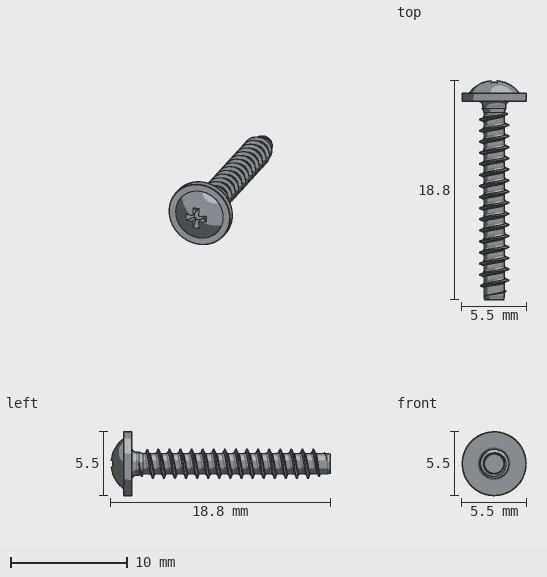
import math

import cadquery as cq


total_length = 18.76
head_height = 1.78
shank_length = total_length - head_height
flange_diameter = 5.5
flange_radius = flange_diameter / 2
flange_height = 0.73
flange_edge_chamfer = 0.04
dome_radius = 2.14

recess_wing_width = 0.53
recess_length = 2.03
recess_bottom_length = 0.83
recess_depth = 0.94

recess_corner_radius = recess_wing_width / math.sqrt(2)
dome_sphere_center = (
    recess_corner_radius**2 + head_height**2 - dome_radius**2 - flange_height**2
) / (2 * (head_height - flange_height))
dome_sphere_radius = math.hypot(dome_radius, flange_height - dome_sphere_center)
dome_apex = dome_sphere_center + dome_sphere_radius

core_radius = 0.88
neck_radius = 1.0
neck_fillet = 0.38
neck_end = 0.62
neck_taper_end = 0.94
tip_radius = 0.83
tip_taper_length = 0.25

full_span_turns = 14
full_span_length = 13.28
pitch = full_span_length / full_span_turns
thread_start = 0.6
lead_in_turns = 1.0
full_turns = 14.7
run_out_turns = 1.3
lead_in_height = 0.5
run_out_height = 0.05
thread_base_radius = 0.85
thread_shoulder_radius = 0.94
thread_crest_radius = 1.25
head_side_base_width = 0.45
tip_side_base_width = 0.28
shoulder_half_width = 0.13
crest_half_width = 0.011
points_per_turn = 16

shoulder_height = thread_shoulder_radius - thread_base_radius
crest_height = thread_crest_radius - thread_base_radius
thread_section = [
    (-tip_side_base_width, 0),
    (-shoulder_half_width, shoulder_height),
    (-crest_half_width, crest_height),
    (crest_half_width, crest_height),
    (shoulder_half_width, shoulder_height),
    (head_side_base_width, 0),
]


def make_blank():
    """Revolved head, neck and core without thread or recess."""
    dome_rim_angle = math.asin((flange_height - dome_sphere_center) / dome_sphere_radius)
    dome_mid_angle = (math.pi / 2 + dome_rim_angle) / 2
    dome_mid = (
        dome_sphere_radius * math.cos(dome_mid_angle),
        dome_sphere_center + dome_sphere_radius * math.sin(dome_mid_angle),
    )
    fillet_mid_offset = neck_fillet * (1 - math.sqrt(0.5))
    return (
        cq.Workplane("XY")
        .moveTo(0, dome_apex)
        .threePointArc(dome_mid, (dome_radius, flange_height))
        .lineTo(flange_radius - flange_edge_chamfer, flange_height)
        .lineTo(flange_radius, flange_height - flange_edge_chamfer)
        .lineTo(flange_radius, flange_edge_chamfer)
        .lineTo(flange_radius - flange_edge_chamfer, 0)
        .lineTo(neck_radius + neck_fillet, 0)
        .threePointArc(
            (neck_radius + fillet_mid_offset, -fillet_mid_offset),
            (neck_radius, -neck_fillet),
        )
        .lineTo(neck_radius, -neck_end)
        .lineTo(core_radius, -neck_taper_end)
        .lineTo(core_radius, tip_taper_length - shank_length)
        .lineTo(tip_radius, -shank_length)
        .lineTo(0, -shank_length)
        .close()
        .revolve(360, (0, 0, 0), (0, 1, 0))
    )


def make_recess():
    """Two crossed tapered wings, sunk from the top of the dome."""
    wing = (
        cq.Workplane("XY")
        .moveTo(-recess_length / 2, dome_apex)
        .lineTo(recess_length / 2, dome_apex)
        .lineTo(recess_bottom_length / 2, dome_apex - recess_depth)
        .lineTo(-recess_bottom_length / 2, dome_apex - recess_depth)
        .close()
        .extrude(recess_wing_width / 2, both=True)
    )
    return wing.union(wing.rotate((0, 0, 0), (0, 1, 0), 90))


def thread_point(corner, turn, height):
    """Place a section corner on the helix; the section is scaled by height."""
    axial, radial = corner
    angle = 2 * math.pi * turn
    radius = thread_base_radius + radial * height
    return cq.Vector(
        -radius * math.cos(angle),
        -thread_start - pitch * turn + axial * height,
        -radius * math.sin(angle),
    )


def thread_curve(corner, start_turn, end_turn, start_height, end_height):
    """Path of one section corner, with the height changing evenly along it."""
    steps = math.ceil((end_turn - start_turn) * points_per_turn)
    points = []
    for step in range(steps + 1):
        share = step / steps
        turn = start_turn + (end_turn - start_turn) * share
        height = start_height + (end_height - start_height) * share
        points.append(thread_point(corner, turn, height))
    return cq.Edge.makeSpline(points)


def thread_cap(turn, height):
    """Flat face that closes an end of the thread."""
    corners = [thread_point(corner, turn, height) for corner in thread_section]
    return cq.Face.makeFromWires(cq.Wire.makePolygon(corners, close=True))


def make_thread():
    """Solid thread ridge, its base buried in the core."""
    full_start = lead_in_turns
    full_end = full_start + full_turns
    thread_end = full_end + run_out_turns
    stretches = [
        (0, full_start, lead_in_height, 1),
        (full_start, full_end, 1, 1),
        (full_end, thread_end, 1, run_out_height),
    ]
    faces = [thread_cap(0, lead_in_height), thread_cap(thread_end, run_out_height)]
    for stretch in stretches:
        curves = [thread_curve(corner, *stretch) for corner in thread_section]
        for index, curve in enumerate(curves):
            faces.append(cq.Face.makeRuledSurface(curves[index - 1], curve))
    ridge = cq.Solid.makeSolid(cq.Shell.makeShell(faces))
    return cq.Workplane(ridge.fix())


result = make_blank().cut(make_recess()).union(make_thread()).solids()